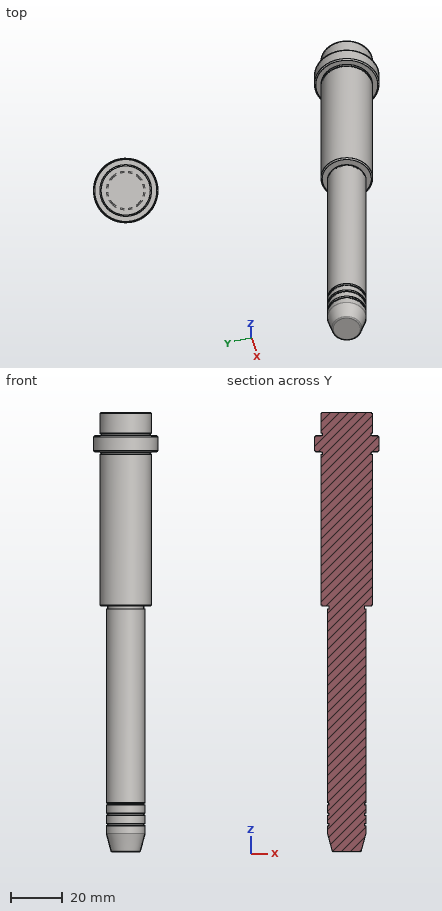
import cadquery as cq
import math

total_length = 170.0
body_radius = 10.0
flange_radius = 12.5
pin_radius = 7.5

head_length = 9.05
flange_thickness = 6.3
pin_length = 95.0
flange_top = total_length - head_length
flange_bottom = flange_top - flange_thickness
body_bottom = pin_length

edge_chamfer = 0.5

groove_mouth_width = 1.0
groove_floor_width = 0.5
groove_depth = 0.5
groove_count = 3
groove_pitch = 4.0
lowest_groove_height = 10.5

relief_width = 1.0
relief_depth = 0.5

taper_length = 7.0
taper_angle = 15.0
tip_radius = pin_radius - taper_length * math.tan(math.radians(taper_angle))
tip_fillet = 0.5


def cylinder(radius, bottom, top):
    """Solid cylinder on the Z axis between two heights."""
    return cq.Workplane("XY").workplane(offset=bottom).circle(radius).extrude(top - bottom)


def revolved(points):
    """Solid turned about the Z axis from (radius, height) points."""
    profile = cq.Workplane("XZ").polyline(points).close()
    return profile.revolve(360, (0, 0, 0), (0, 1, 0))


def groove_ring(shaft_radius, middle):
    """Ring that cuts a groove with sloping walls, centred at one height of a shaft."""
    floor_radius = shaft_radius - groove_depth
    half_mouth = groove_mouth_width / 2
    half_floor = groove_floor_width / 2
    return revolved(
        [
            (shaft_radius, middle - half_mouth),
            (floor_radius, middle - half_floor),
            (floor_radius, middle + half_floor),
            (shaft_radius, middle + half_mouth),
        ]
    )


def make_head():
    head = cylinder(body_radius, flange_top, total_length)
    head = head.faces(">Z").edges().chamfer(edge_chamfer)
    return head.cut(groove_ring(body_radius, flange_top + groove_mouth_width / 2))


def make_flange():
    flange = cylinder(flange_radius, flange_bottom, flange_top)
    return flange.edges("%CIRCLE").chamfer(edge_chamfer)


def make_body():
    body = cylinder(body_radius, body_bottom, flange_bottom)
    body = body.faces("<Z").edges().chamfer(edge_chamfer)
    return body.cut(groove_ring(body_radius, flange_bottom - groove_mouth_width / 2))


def make_pin():
    relief_bottom = body_bottom - relief_width
    pin = cylinder(pin_radius, taper_length, relief_bottom)
    for index in range(groove_count):
        pin = pin.cut(groove_ring(pin_radius, lowest_groove_height + index * groove_pitch))
    neck = cylinder(pin_radius - relief_depth, relief_bottom, body_bottom)
    return pin.union(neck)


def make_tip():
    tip = revolved([(0, 0), (tip_radius, 0), (pin_radius, taper_length), (0, taper_length)])
    return tip.faces("<Z").edges().fillet(tip_fillet)


result = make_head().union(make_flange()).union(make_body()).union(make_pin()).union(make_tip())